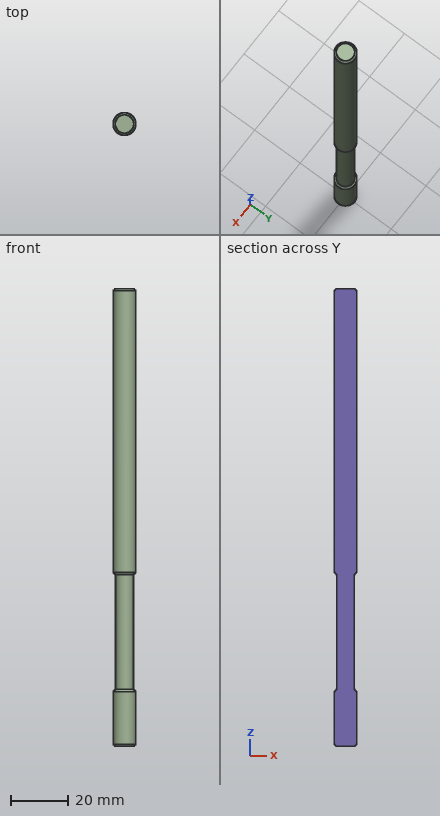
import cadquery as cq

total_length = 160.0
body_diameter = 8.0
neck_diameter = 6.4
pilot_top = 20.0
neck_top = 60.0
chamfer = 0.8

body_radius = body_diameter / 2
neck_radius = neck_diameter / 2


def chamfered_rod(bottom, top):
    """Full-diameter rod along Z with both end edges chamfered."""
    rod = cq.Workplane("XY").workplane(offset=bottom).circle(body_radius).extrude(top - bottom)
    return rod.faces("<Z or >Z").edges().chamfer(chamfer)


pilot = chamfered_rod(0, pilot_top)
neck = cq.Workplane("XY").workplane(offset=pilot_top).circle(neck_radius).extrude(neck_top - pilot_top)
shank = chamfered_rod(neck_top, total_length)

result = pilot.union(neck).union(shank)